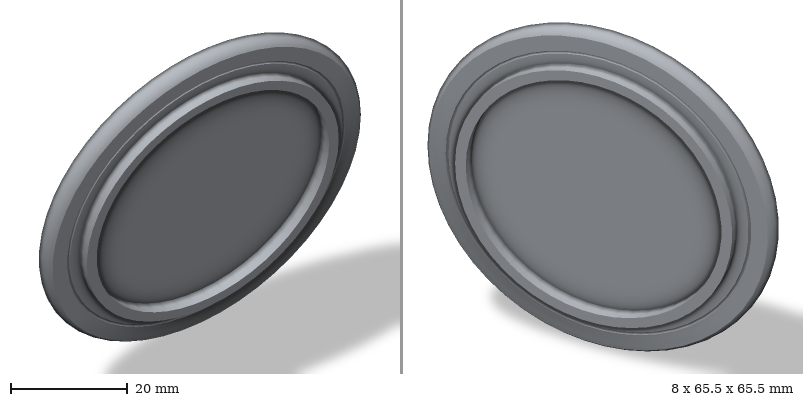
import cadquery as cq

outer_diameter = 65.5
total_width = 8.0
flange_width = 3.9
rim_crown = 1.0
boss_diameter = 52.0
boss_fillet = 0.2
recess_diameter = 48.0
recess_depth = 2.5
groove_diameter = 56.85
groove_width = 0.5

outer_radius = outer_diameter / 2
half_flange = flange_width / 2
half_width = total_width / 2


def cylinder(diameter, width, start):
    """Cylinder along +X whose first face lies at X = start."""
    return cq.Workplane("YZ").workplane(offset=start).circle(diameter / 2).extrude(width)


def flange():
    """Flat disc with a convex rim."""
    edge_radius = outer_radius - rim_crown
    return (
        cq.Workplane("XY")
        .moveTo(-half_flange, 0)
        .lineTo(-half_flange, edge_radius)
        .threePointArc((0, outer_radius), (half_flange, edge_radius))
        .lineTo(half_flange, 0)
        .close()
        .revolve(360, (0, 0, 0), (1, 0, 0))
    )


def boss():
    """Raised disc on the -X face with a concave fillet at its foot."""
    boss_radius = boss_diameter / 2
    fillet_middle = boss_fillet * (1 - 0.5 ** 0.5)
    return (
        cq.Workplane("XY")
        .moveTo(-half_width, 0)
        .lineTo(-half_width, boss_radius)
        .lineTo(-half_flange - boss_fillet, boss_radius)
        .threePointArc(
            (-half_flange - fillet_middle, boss_radius + fillet_middle),
            (-half_flange, boss_radius + boss_fillet),
        )
        .lineTo(-half_flange, 0)
        .close()
        .revolve(360, (0, 0, 0), (1, 0, 0))
    )


def groove():
    """Ring of round section, half sunk into the -X face of the flange."""
    return (
        cq.Workplane("XY")
        .center(-half_flange, groove_diameter / 2)
        .circle(groove_width / 2)
        .revolve(360, (0, -groove_diameter / 2, 0), (1, -groove_diameter / 2, 0))
    )


def on_both_faces(feature):
    """The feature together with its mirror image on the +X face."""
    return feature.union(feature.mirror("YZ"))


recess = cylinder(recess_diameter, recess_depth, -half_width)

result = (
    flange()
    .union(on_both_faces(boss()))
    .cut(on_both_faces(recess))
    .cut(on_both_faces(groove()))
)